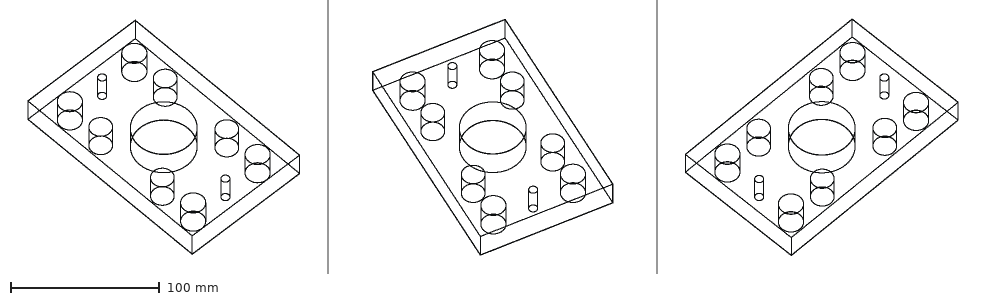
import cadquery as cq

length = 160
width = 100.0
thickness = 20.0

center_bore_diameter = 45.0
outer_hole_diameter = 17.0
inner_hole_diameter = 16
pin_hole_diameter = 6.0

outer_spacing_x = 120
inner_spacing_x = outer_spacing_x / 2
row_spacing_y = 60.0


def corner_points(spacing_x, spacing_y):
    """Four points at the corners of a rectangle centred on the plate."""
    return [(sx * spacing_x / 2, sy * spacing_y / 2) for sx in (-1, 1) for sy in (-1, 1)]


def drill(plate, points, diameter):
    """Cut through holes down from the top face."""
    return plate.faces(">Z").workplane(origin=(0, 0, 0)).pushPoints(points).hole(diameter)


plate = cq.Workplane("XY").box(length, width, thickness)
plate = drill(plate, [(0, 0)], center_bore_diameter)
plate = drill(plate, corner_points(outer_spacing_x, row_spacing_y), outer_hole_diameter)
plate = drill(plate, corner_points(inner_spacing_x, row_spacing_y), inner_hole_diameter)

pin_points = [(-outer_spacing_x / 2, 0), (outer_spacing_x / 2, 0)]
result = drill(plate, pin_points, pin_hole_diameter)